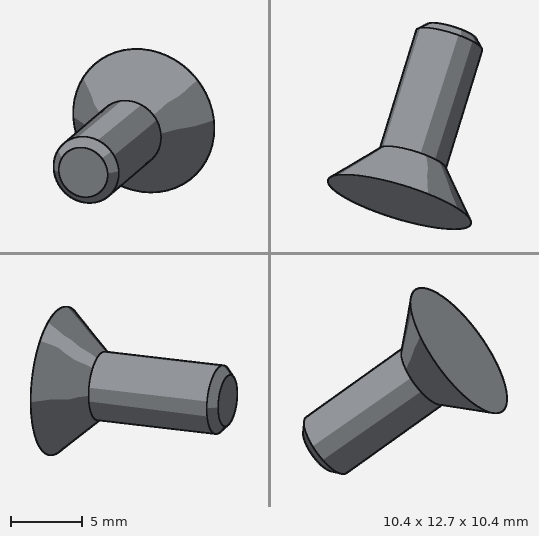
import cadquery as cq

total_length = 12.7
head_diameter = 10.44
head_height = 3.23
shank_diameter = 4.83
tip_chamfer = 0.61

head_radius = head_diameter / 2
shank_radius = shank_diameter / 2
shank_length = total_length - head_height

half_section = (
    cq.Workplane("XY")
    .moveTo(0, 0)
    .lineTo(shank_radius - tip_chamfer, 0)
    .lineTo(shank_radius, tip_chamfer)
    .lineTo(shank_radius, shank_length)
    .lineTo(head_radius, total_length)
    .lineTo(0, total_length)
    .close()
)

result = half_section.revolve(360, (0, 0, 0), (0, 1, 0))